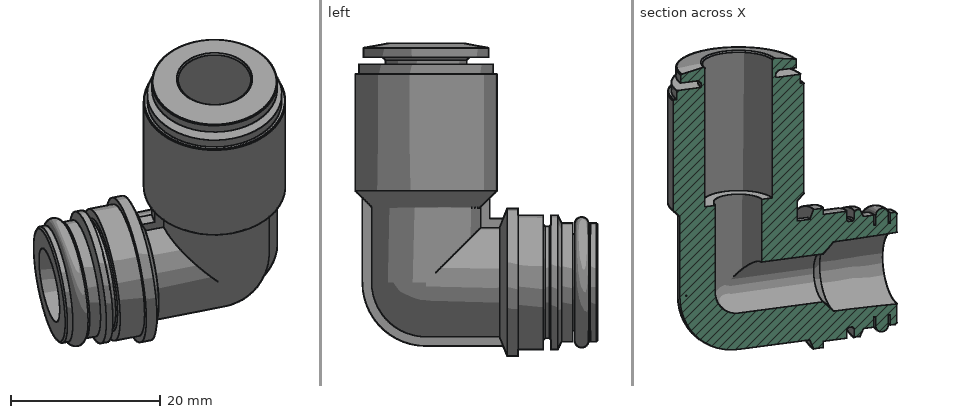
import cadquery as cq
import math


elbow_radius = 7.33
bore_radius = 3.35
rib_radius = 8.55
rib_width = 1.5

barrel_radius = 19.0 / 2
barrel_bottom = 12.25
barrel_top = 27.95
barrel_edge_chamfer = 0.13
shoulder_fillet = 0.4
cap_radius = 18.0 / 2
cap_top = 29.2

collar_neck_radius = 10.95 / 2
collar_radius = 16.8 / 2
collar_flare = 0.38
collar_bottom = 30.1
collar_rim_top = 31.4
collar_rim_chamfer = 0.13
overall_top = 32.0

tube_socket_radius = 9.7 / 2
tube_socket_chamfer = 0.2
tube_socket_floor = barrel_bottom

stem_mouth_radius = 5.03
stem_socket_radius = 4.85
stem_socket_depth = 9.2

flange_radius = 19.75 / 2
flange_cone_start = 9.9
flange_cone_radius = elbow_radius + 0.15
flange_start = 10.85
flange_end = 12.3
pilot_radius = 18.0 / 2
clip_groove_start = 15.7
clip_groove_end = 16.7
clip_groove_radius = 15.05 / 2
clip_groove_chamfer = 0.2
ring_taper_start = 17.65
ring_taper_end = 18.15
land_radius = 15.9 / 2
seal_groove_start = 19.65
seal_groove_end = 22.0
seal_groove_radius = 13.0 / 2
seal_radius = 8.75
seal_thickness = 1.9
stem_end = 23.0
stem_end_chamfer = 0.25


def revolve_on_z(profile):
    """Revolve a closed (radius, height) profile around the Z axis."""
    return profile.close().revolve(360, (0, 0, 0), (0, 1, 0))


def turn_to_stem(body):
    """Turn a body built along +Z so that it points along -Y."""
    return body.rotate((0, 0, 0), (1, 0, 0), 90)


def make_barrel():
    """Upper leg of the elbow, the barrel, its cap and the release collar."""
    shoulder_start = barrel_bottom - (barrel_radius - elbow_radius)
    half_turn = math.radians(45 / 2)
    tangent_length = shoulder_fillet * math.tan(half_turn)
    diagonal_step = tangent_length * math.sqrt(0.5)
    arc_mid = (
        elbow_radius + shoulder_fillet * (1 - math.cos(half_turn)),
        shoulder_start - tangent_length + shoulder_fillet * math.sin(half_turn),
    )
    profile = (
        cq.Workplane("XZ")
        .moveTo(0, 0)
        .lineTo(elbow_radius, 0)
        .lineTo(elbow_radius, shoulder_start - tangent_length)
        .threePointArc(arc_mid, (elbow_radius + diagonal_step, shoulder_start + diagonal_step))
        .lineTo(barrel_radius, barrel_bottom)
        .lineTo(barrel_radius, barrel_top - barrel_edge_chamfer)
        .lineTo(barrel_radius - barrel_edge_chamfer, barrel_top)
        .lineTo(cap_radius, barrel_top)
        .lineTo(cap_radius, cap_top)
        .lineTo(collar_neck_radius, cap_top)
        .lineTo(collar_neck_radius, collar_bottom - collar_flare)
        .lineTo(collar_neck_radius + collar_flare, collar_bottom)
        .lineTo(collar_radius, collar_bottom)
        .lineTo(collar_radius, collar_rim_top - collar_rim_chamfer)
        .lineTo(collar_radius - collar_rim_chamfer, collar_rim_top)
        .lineTo(tube_socket_radius + tube_socket_chamfer, overall_top)
        .lineTo(0, overall_top)
    )
    return revolve_on_z(profile)


def make_stem():
    """Lower leg of the elbow with the flange, clip groove and seal groove."""
    groove_floor_start = clip_groove_start + clip_groove_chamfer
    groove_floor_end = clip_groove_end - clip_groove_chamfer
    groove_wall_radius = clip_groove_radius + clip_groove_chamfer
    profile = (
        cq.Workplane("XZ")
        .moveTo(0, 0)
        .lineTo(elbow_radius, 0)
        .lineTo(elbow_radius, flange_cone_start)
        .lineTo(flange_cone_radius, flange_cone_start)
        .lineTo(flange_radius, flange_start)
        .lineTo(flange_radius, flange_end)
        .lineTo(pilot_radius, flange_end)
        .lineTo(pilot_radius, clip_groove_start)
        .lineTo(groove_wall_radius, clip_groove_start)
        .lineTo(clip_groove_radius, groove_floor_start)
        .lineTo(clip_groove_radius, groove_floor_end)
        .lineTo(groove_wall_radius, clip_groove_end)
        .lineTo(pilot_radius, clip_groove_end)
        .lineTo(pilot_radius, ring_taper_start)
        .lineTo(land_radius, ring_taper_end)
        .lineTo(land_radius, seal_groove_start)
        .lineTo(seal_groove_radius, seal_groove_start)
        .lineTo(seal_groove_radius, seal_groove_end)
        .lineTo(land_radius, seal_groove_end)
        .lineTo(land_radius, stem_end - stem_end_chamfer)
        .lineTo(land_radius - stem_end_chamfer, stem_end)
        .lineTo(0, stem_end)
    )
    return turn_to_stem(revolve_on_z(profile))


def make_seal():
    """Seal ring with a rounded rim, seated on the floor of its groove."""
    middle = (seal_groove_start + seal_groove_end) / 2
    half_thickness = seal_thickness / 2
    rim_centre_radius = seal_radius - half_thickness
    profile = (
        cq.Workplane("XZ")
        .moveTo(0, middle - half_thickness)
        .lineTo(rim_centre_radius, middle - half_thickness)
        .threePointArc((seal_radius, middle), (rim_centre_radius, middle + half_thickness))
        .lineTo(0, middle + half_thickness)
    )
    return turn_to_stem(revolve_on_z(profile))


def make_rib():
    """Rib in the bend plane: round outside the elbow, square in its inner corner."""
    rib_top = barrel_bottom
    rib_reach = flange_start
    arc_mid = rib_radius * math.sqrt(0.5)
    return (
        cq.Workplane("YZ")
        .moveTo(rib_radius, rib_top)
        .lineTo(rib_radius, 0)
        .threePointArc((arc_mid, -arc_mid), (0, -rib_radius))
        .lineTo(-rib_reach, -rib_radius)
        .lineTo(-rib_reach, rib_radius)
        .lineTo(-rib_radius, rib_radius)
        .lineTo(-rib_radius, rib_top)
        .close()
        .extrude(rib_width / 2, both=True)
    )


def make_tube_passage():
    """Elbow bore up the barrel, the tube socket and its mouth chamfer."""
    profile = (
        cq.Workplane("XZ")
        .moveTo(0, 0)
        .lineTo(bore_radius, 0)
        .lineTo(bore_radius, tube_socket_floor)
        .lineTo(tube_socket_radius, tube_socket_floor)
        .lineTo(tube_socket_radius, overall_top - tube_socket_chamfer)
        .lineTo(tube_socket_radius + tube_socket_chamfer, overall_top)
        .lineTo(0, overall_top)
    )
    return revolve_on_z(profile)


def make_stem_passage():
    """Elbow bore along the stem and the socket behind the stem mouth."""
    socket_floor = stem_end - stem_socket_depth
    cone_length = stem_socket_radius - bore_radius
    profile = (
        cq.Workplane("XZ")
        .moveTo(0, 0)
        .lineTo(bore_radius, 0)
        .lineTo(bore_radius, socket_floor - cone_length)
        .lineTo(stem_socket_radius, socket_floor)
        .lineTo(stem_mouth_radius, stem_end)
        .lineTo(0, stem_end)
    )
    return turn_to_stem(revolve_on_z(profile))


elbow_ball = cq.Workplane("XY").sphere(elbow_radius)
bore_ball = cq.Workplane("XY").sphere(bore_radius)

outside = elbow_ball.union(make_barrel()).union(make_stem()).union(make_seal()).union(make_rib())
passage = bore_ball.union(make_tube_passage()).union(make_stem_passage())

result = outside.cut(passage)